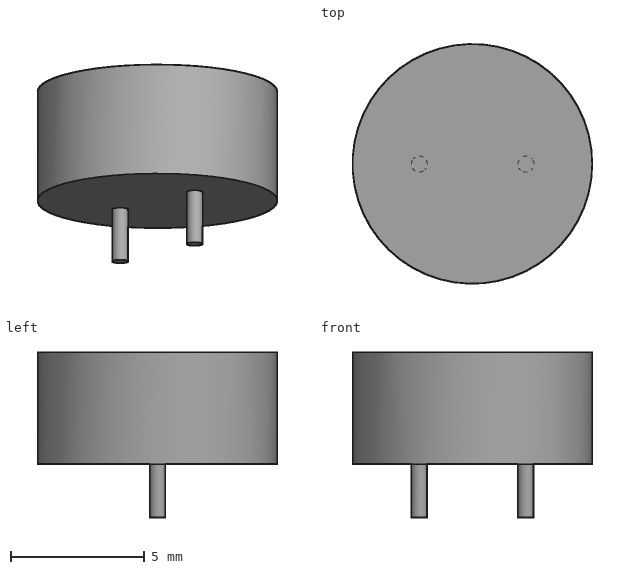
import cadquery as cq

body_diameter = 9.0
body_height = 4.2

pin_diameter = 0.6
pin_length = 2.0
pin_spacing = 4.0


def make_body():
    return cq.Workplane("XY").circle(body_diameter / 2).extrude(body_height)


def make_pins():
    pin_centres = [(-pin_spacing / 2, 0), (pin_spacing / 2, 0)]
    return cq.Workplane("XY").pushPoints(pin_centres).circle(pin_diameter / 2).extrude(-pin_length)


result = make_body().union(make_pins())